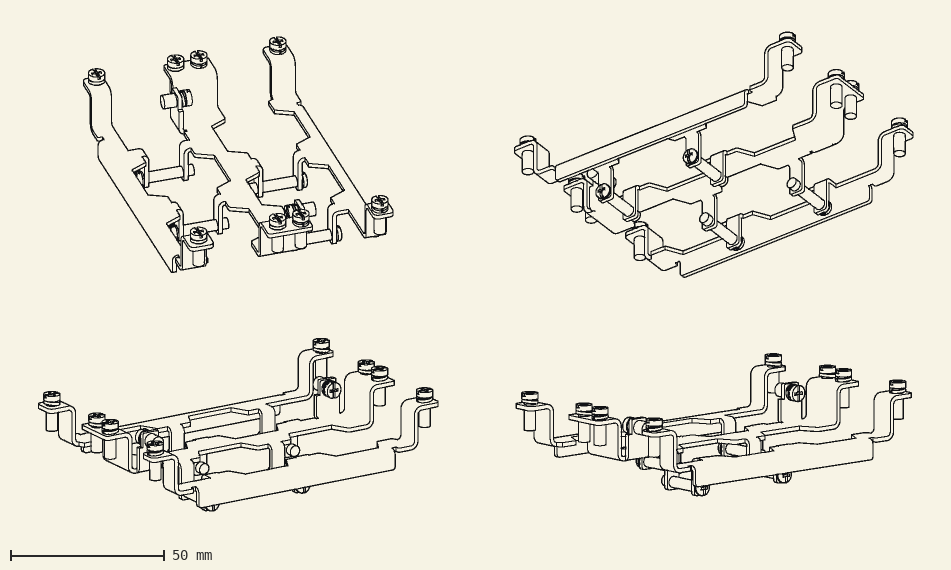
import cadquery as cq
import math

LENGTH = 111.0
WIDTH = 70.7
SHEET = 1.4
HALF_FLAT = 44.3
PITCH = 17.5
STRAP_X = (-1.5 * PITCH, 0.5 * PITCH)
POCKET_X = (-0.5 * PITCH, 1.5 * PITCH)

END_BEND = 1.3
SMALL_BEND = 0.5
SMALL_OUTER = SMALL_BEND + SHEET

OUTER_EDGE = -35.0
FLANGE_FOLD = -WIDTH / 2 + SMALL_OUTER
INNER_EDGE = -25.0
MIDDLE_EDGE = -8.2
STEP_EDGE = -7.1
NARROW_EDGE = -28.1
WIDE_EDGE = -26.8

POCKET_DEPTH = 5.8
POCKET_MOUTH = 22.4
POCKET_FLOOR = 16.4
MOUTH_ROUND = 1.0
CORNER_CUT = 1.0

TAB_TOP = 14.4
RAIL_TAB_ROUND = 1.7
MIDDLE_TAB_ROUND = 1.0

FLANGE_LENGTH = 75.9
FLANGE_BOTTOM = -5.4
FLANGE_ROUND = 1.1
FLANGE_RELIEF = 1.5
RELIEF_ROUND = 0.5

STRAP_WIDTH = 5.0
STRAP_BOTTOM = -11.1
STRAP_ROUND = 1.0
STRAP_FOLD_OFFSET = 0.3

LUG_X = -39.3
LUG_WIDTH = 8.9
LUG_SHOULDER = 8.8
LUG_HEAD_WIDTH = 6.1
LUG_TOP = 13.7
LUG_ROUND = 0.5
LUG_RELIEF = 1.0
LUG_RELIEF_RIGHT = -34.2
LUG_FACE = STEP_EDGE - SHEET

END_SCREW_X = 52.1
RAIL_SCREW_Y = 31.1
MIDDLE_SCREW_Y = 4.0
END_SCREW_DIAMETER = 3.8
END_SCREW_SHANK = 8.5
LUG_SCREW_DIAMETER = 4.5
LUG_SCREW_SHANK = 5.7
LUG_SCREW_Z = 10.8
HEAD_DIAMETER = 5.3
HEAD_HEIGHT = 1.9
SPRING_DIAMETER = 5.3
SPRING_HEIGHT = 1.0
SPRING_SPACE = 1.8
SPRING_TILT = 7
SPRING_GAP = 0.4
SLOT_WIDTH = 0.8
SLOT_DEPTH = 0.9
CROSS_DEPTH = 1.3
CROSS_LENGTH = 3.1

TIE_DIAMETER = 3.7
TIE_Z = -8.5
TIE_END = -6.8
TIE_HEAD_DIAMETER = 5.1
TIE_HEAD_HEIGHT = 1.4
TIE_HEAD_ROUND = 0.8
TIE_NECK_DIAMETER = 4.7
TIE_NECK_HEIGHT = 0.5
TIE_CROSS_LENGTH = 2.7


def block(x_range, y_range, z_range):
    """Box spanning the given ranges."""
    size = [high - low for low, high in (x_range, y_range, z_range)]
    corner = (x_range[0], y_range[0], z_range[0])
    return cq.Workplane("XY").box(*size, centered=False).translate(corner)


def half_turn(shape):
    return shape.rotate((0, 0, 0), (0, 0, 1), 180)


def rod(diameter, z_low, z_high):
    return cq.Workplane("XY").workplane(offset=z_low).circle(diameter / 2).extrude(z_high - z_low)


def fold(origin, outward, direction, width, inner_radius, flat, reach):
    """Sheet bent by a right angle.

    The bend starts at origin, on the convex face. A flat stretch runs back from there,
    against outward, and the leg ends at the distance reach along direction.
    """
    outer = inner_radius + SHEET
    diagonal = math.sqrt(0.5)
    normal = cq.Vector(*outward).cross(cq.Vector(*direction))
    plane = cq.Plane(origin=origin, xDir=outward, normal=normal.toTuple())
    profile = (
        cq.Workplane(plane)
        .moveTo(-flat, 0)
        .lineTo(0, 0)
        .threePointArc((outer * diagonal, outer * (1 - diagonal)), (outer, outer))
        .lineTo(outer, reach)
        .lineTo(inner_radius, reach)
        .lineTo(inner_radius, outer)
        .threePointArc((inner_radius * diagonal, outer - inner_radius * diagonal), (0, SHEET))
        .lineTo(-flat, SHEET)
        .close()
    )
    return profile.extrude(width / 2, both=True)


def end_bracket(side, y_low, y_high, corner_round):
    """Z-shaped bracket at the end of a rail; side is +1 for +X and -1 for -X."""
    y_mid = (y_low + y_high) / 2
    width = y_high - y_low
    outer = END_BEND + SHEET
    tab_start = HALF_FLAT + END_BEND + outer
    half_height = TAB_TOP / 2
    lower = fold((side * HALF_FLAT, y_mid, 0), (side, 0, 0), (0, 0, 1),
                 width, END_BEND, SHEET, half_height)
    upper = fold((side * tab_start, y_mid, TAB_TOP), (-side, 0, 0), (0, 0, -1),
                 width, END_BEND, LENGTH / 2 - tab_start, half_height)
    end_face = ">X" if side > 0 else "<X"
    upper = upper.faces(end_face).edges("|Z").fillet(corner_round)
    return lower.union(upper)


def pocket(x, edge):
    """Trapezoidal cutter opening toward +Y at the given edge, before any turning."""
    floor = edge - POCKET_DEPTH
    return (
        cq.Workplane("XY")
        .polyline([
            (x - POCKET_MOUTH / 2, edge),
            (x - POCKET_FLOOR / 2, floor),
            (x + POCKET_FLOOR / 2, floor),
            (x + POCKET_MOUTH / 2, edge),
        ])
        .close()
        .extrude(SHEET)
    )


def strap(x, edge, side):
    """Strap folded down from a rail edge; side is the Y direction it leaves the edge."""
    start = edge + side * STRAP_FOLD_OFFSET
    bent = fold((x, start, SHEET), (0, side, 0), (0, 0, -1),
                STRAP_WIDTH, SMALL_BEND, SHEET, SHEET - STRAP_BOTTOM)
    return bent.faces("<Z").edges("|Y").fillet(STRAP_ROUND)


def front_rail():
    sheet_z = (0, SHEET)
    rail = block((-HALF_FLAT, HALF_FLAT), (OUTER_EDGE, INNER_EDGE), sheet_z)
    for x in POCKET_X:
        rail = rail.cut(pocket(x, INNER_EDGE))

    strap_left = STRAP_X[0] - STRAP_WIDTH / 2
    rail = rail.cut(block((-HALF_FLAT, strap_left), (NARROW_EDGE, INNER_EDGE), sheet_z))
    bevel = (
        cq.Workplane("XY")
        .polyline([
            (HALF_FLAT - CORNER_CUT, INNER_EDGE),
            (HALF_FLAT, INNER_EDGE),
            (HALF_FLAT, WIDE_EDGE),
        ])
        .close()
        .extrude(SHEET)
    )
    rail = rail.cut(bevel)

    relief_x = FLANGE_LENGTH / 2 + FLANGE_RELIEF
    rail = rail.cut(block((-relief_x, relief_x), (OUTER_EDGE, FLANGE_FOLD), sheet_z))
    for x in (-relief_x, relief_x):
        corner = cq.NearestToPointSelector((x, OUTER_EDGE, SHEET / 2))
        rail = rail.edges("|Z").edges(corner).fillet(RELIEF_ROUND)
    flange = fold((0, FLANGE_FOLD, SHEET), (0, -1, 0), (0, 0, -1),
                  FLANGE_LENGTH, SMALL_BEND, SHEET, SHEET - FLANGE_BOTTOM)
    rail = rail.union(flange.faces("<Z").edges("|Y").fillet(FLANGE_ROUND))

    for x in STRAP_X:
        rail = rail.union(strap(x, INNER_EDGE, 1))
    rail = rail.union(end_bracket(-1, OUTER_EDGE, NARROW_EDGE, RAIL_TAB_ROUND))
    return rail.union(end_bracket(1, OUTER_EDGE, WIDE_EDGE, RAIL_TAB_ROUND))


def lug():
    """Upright lug with a narrower head, folded up from the middle rail."""
    fold_start = LUG_FACE + SMALL_OUTER
    base = fold((LUG_X, fold_start, 0), (0, -1, 0), (0, 0, 1),
                LUG_WIDTH, SMALL_BEND, SHEET, LUG_SHOULDER)
    half_head = LUG_HEAD_WIDTH / 2
    head = block((LUG_X - half_head, LUG_X + half_head), (LUG_FACE, STEP_EDGE),
                 (LUG_SHOULDER, LUG_TOP))
    return base.union(head.faces(">Z").edges("|Y").fillet(LUG_ROUND))


def middle_rail():
    sheet_z = (0, SHEET)
    strap_left = STRAP_X[0] - STRAP_WIDTH / 2
    step = block((-HALF_FLAT, strap_left), (MIDDLE_EDGE, STEP_EDGE), sheet_z)
    lug_relief = block((-HALF_FLAT, LUG_RELIEF_RIGHT), (STEP_EDGE, STEP_EDGE + LUG_RELIEF), sheet_z)
    cuts = step.union(lug_relief)
    for x in POCKET_X:
        cuts = cuts.union(half_turn(pocket(-x, -MIDDLE_EDGE)))

    front_parts = lug().union(end_bracket(-1, STEP_EDGE, -MIDDLE_EDGE, MIDDLE_TAB_ROUND))
    for x in STRAP_X:
        front_parts = front_parts.union(strap(x, MIDDLE_EDGE, -1))

    rail = block((-HALF_FLAT, HALF_FLAT), (MIDDLE_EDGE, -MIDDLE_EDGE), sheet_z)
    rail = rail.cut(cuts).cut(half_turn(cuts))
    for turn in (-1, 1):
        for x in POCKET_X:
            for side in (-1, 1):
                mouth = (-turn * (x + side * POCKET_MOUTH / 2), -turn * MIDDLE_EDGE, SHEET / 2)
                corner = cq.NearestToPointSelector(mouth)
                rail = rail.edges("|Z").edges(corner).fillet(MOUTH_ROUND)
    return rail.union(front_parts).union(half_turn(front_parts))


def cross_recess(top, slot_length, cross_length, cross_depth):
    """Slot along X with a shorter arm along Y, sunk from the height top."""
    half_slot = SLOT_WIDTH / 2
    slot = block((-slot_length / 2, slot_length / 2), (-half_slot, half_slot), (top - SLOT_DEPTH, top))
    arm = block((-half_slot, half_slot), (-cross_length / 2, cross_length / 2), (top - cross_depth, top))
    return slot.union(arm)


def spring_washer():
    """Split ring centred on the origin, low on the -X side where it is split."""
    half_height = SPRING_HEIGHT / 2
    washer = rod(SPRING_DIAMETER, -half_height, half_height)
    split = block((-SPRING_DIAMETER / 2, 0), (-SPRING_GAP / 2, SPRING_GAP / 2),
                  (-half_height, half_height))
    return washer.cut(split).rotate((0, 0, 0), (0, 1, 0), -SPRING_TILT)


def washer_screw(diameter, shank):
    """Slotted screw along Z with a spring washer, seated at Z = 0, head up."""
    head_top = SPRING_SPACE + HEAD_HEIGHT
    head = rod(HEAD_DIAMETER, SPRING_SPACE, head_top)
    head = head.cut(cross_recess(head_top, HEAD_DIAMETER, CROSS_LENGTH, CROSS_DEPTH))
    washer = spring_washer().translate((0, 0, SPRING_SPACE / 2))
    return rod(diameter, -shank, SPRING_SPACE).union(washer).union(head)


def lug_screw():
    screw = washer_screw(LUG_SCREW_DIAMETER, LUG_SCREW_SHANK)
    screw = screw.rotate((0, 0, 0), (0, 0, 1), 90).rotate((0, 0, 0), (1, 0, 0), -90)
    return screw.translate((LUG_X, STEP_EDGE, LUG_SCREW_Z))


def tie_screw(x):
    """Pan head screw along +Y, seated on the outer face of a front rail strap."""
    seat = INNER_EDGE + STRAP_FOLD_OFFSET + SMALL_BEND
    head_top = TIE_NECK_HEIGHT + TIE_HEAD_HEIGHT
    head = rod(TIE_HEAD_DIAMETER, TIE_NECK_HEIGHT, head_top).faces(">Z").edges().fillet(TIE_HEAD_ROUND)
    recess = cross_recess(head_top, TIE_HEAD_DIAMETER, TIE_CROSS_LENGTH, SLOT_DEPTH)
    head = head.cut(recess.rotate((0, 0, 0), (0, 0, 1), 90))
    neck = rod(TIE_NECK_DIAMETER, 0, TIE_NECK_HEIGHT)
    screw = rod(TIE_DIAMETER, seat - TIE_END, 0).union(neck).union(head)
    return screw.rotate((0, 0, 0), (1, 0, 0), 90).translate((x, seat, TIE_Z))


def front_half():
    half = front_rail().union(lug_screw())
    for x in STRAP_X:
        half = half.union(tie_screw(x))
    end_screw = washer_screw(END_SCREW_DIAMETER, END_SCREW_SHANK)
    for side in (-1, 1):
        for y in (-RAIL_SCREW_Y, -MIDDLE_SCREW_Y):
            half = half.union(end_screw.translate((side * END_SCREW_X, y, TAB_TOP)))
    return half


half = front_half()
result = middle_rail().union(half).union(half_turn(half))